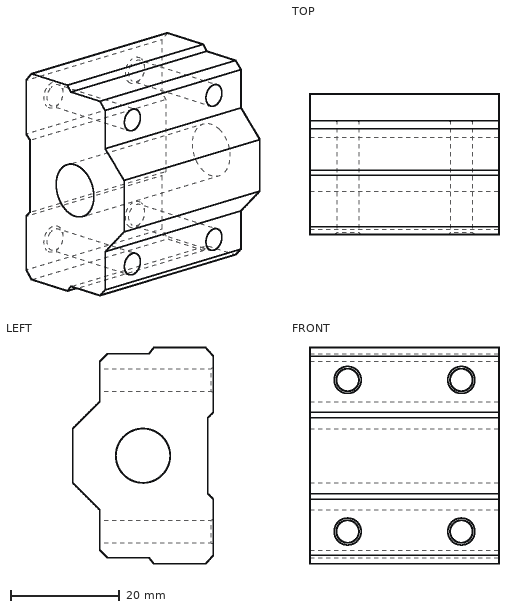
import cadquery as cq

length = 35.0
depth = 26.0
height = 40.0
front_y = -depth / 2
back_y = depth / 2
half_height = height / 2

front_bevel_y = 1.45
front_bevel_z = 1.6
step_y = -2.0
step_height = 1.1
step_run = 0.9
back_bevel = 1.45
shoulder_y = 8.0
ridge_half_height = 5.0

channel_half_height = 8.0
channel_depth = 1.0

shaft_diameter = 10.0
screw_diameter = 4.1
screw_mouth_diameter = 5.0
screw_spacing_x = 21.0
screw_spacing_z = 28.0


def side_outline():
    """Upper half of the (Y, Z) outline from front to back, mirrored below."""
    back_top = half_height - step_height
    ridge_rise = back_y - shoulder_y
    upper = [
        (front_y + channel_depth, channel_half_height - channel_depth),
        (front_y, channel_half_height),
        (front_y, half_height - front_bevel_z),
        (front_y + front_bevel_y, half_height),
        (step_y, half_height),
        (step_y + step_run, back_top),
        (shoulder_y - back_bevel, back_top),
        (shoulder_y, back_top - back_bevel),
        (shoulder_y, ridge_half_height + ridge_rise),
        (back_y, ridge_half_height),
    ]
    lower = [(y, -z) for y, z in reversed(upper)]
    return upper + lower


def screw_hole(x, z):
    """Through hole along Y with a 45 degree countersink in the mounting face."""
    screw_radius = screw_diameter / 2
    mouth_radius = screw_mouth_diameter / 2
    start = cq.Vector(x, front_y, z)
    inward = cq.Vector(0, 1, 0)
    hole = cq.Solid.makeCylinder(screw_radius, depth, start, inward)
    sink_depth = mouth_radius - screw_radius
    sink = cq.Solid.makeCone(mouth_radius, screw_radius, sink_depth, start, inward)
    return hole.fuse(sink)


body = cq.Workplane("YZ").polyline(side_outline()).close().extrude(length / 2, both=True)

bore = cq.Workplane("YZ").circle(shaft_diameter / 2).extrude(length / 2, both=True)
body = body.cut(bore)

for x in (-screw_spacing_x / 2, screw_spacing_x / 2):
    for z in (-screw_spacing_z / 2, screw_spacing_z / 2):
        body = body.cut(cq.Workplane(screw_hole(x, z)))

result = body